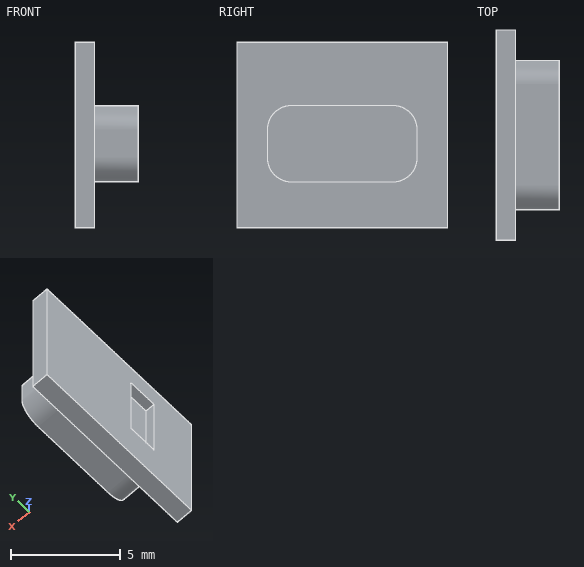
import cadquery as cq

plate_thickness = 0.9
plate_width = 9.64
plate_height = 8.5

total_depth = 2.9
boss_length = total_depth - plate_thickness
boss_width = 6.84
boss_height = 3.5
boss_corner_radius = 1.1
boss_center_z = -0.4

pocket_width = 1.52
pocket_height = 4.51
pocket_depth = 0.5
pocket_center_y = -1.55
pocket_center_z = 0.51


def block(start_x, length, width, height, center_y=0.0, center_z=0.0):
    """Box starting at start_x, centred at the given Y and Z."""
    return (
        cq.Workplane("XY")
        .box(length, width, height, centered=(False, True, True))
        .translate((start_x, center_y, center_z))
    )


plate = block(0, plate_thickness, plate_width, plate_height)

boss = block(
    plate_thickness, boss_length, boss_width, boss_height, center_z=boss_center_z
).edges("|X").fillet(boss_corner_radius)

pocket = block(
    0, pocket_depth, pocket_width, pocket_height, pocket_center_y, pocket_center_z
)

result = plate.union(boss).cut(pocket)